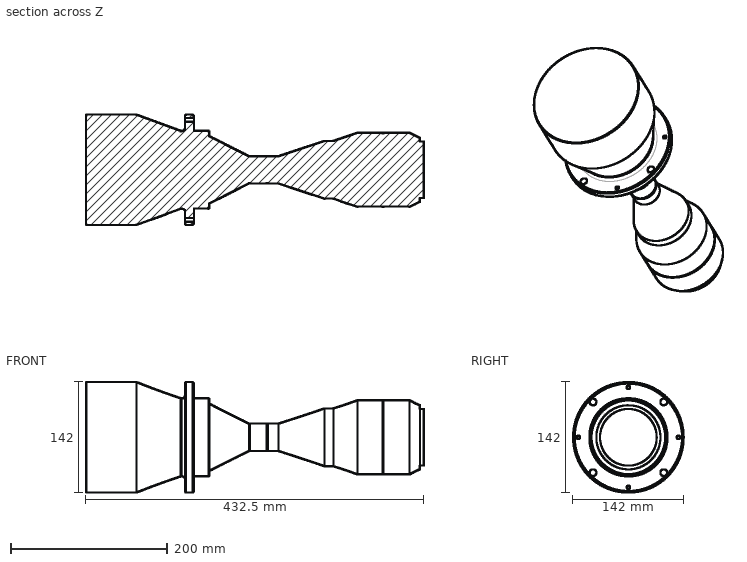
import cadquery as cq
import math

length = 432.5
barrel_end = 64.5
front_cone_end = 121.0
flange_front = 126.8
flange_back = 138.5
collar_end = 158.0
middle_cone_end = 208.5
tube_end = 246.5
rear_cone_end = 305.5
band_end = 316.5
head_start = 347.5
head_taper_start = 414.5
head_end = 427.5

flange_radius = 71.0
barrel_radius = 71.0
collar_radius = 50.0
middle_cone_radius = 43.3
tube_radius = 17.7
band_radius = 37.0
head_radius = 47.5
head_end_radius = 41.0
stub_radius = 36.5

barrel_chamfer = 1.0
flange_front_chamfer = 1.5
flange_back_chamfer = 2.0
neck_fillet = 3.5
collar_chamfer = 1.5

groove_width = 1.5
groove_depth = 0.5
middle_groove_start = 231.5
head_groove_start = 380.0
grooves = [
    (front_cone_end, collar_radius),
    (middle_cone_end, tube_radius),
    (middle_groove_start, tube_radius),
    (head_groove_start, head_radius),
]

bolt_circle_radius = 64.0
mounting_hole_diameter = 8.5
small_hole_diameter = 4.5
holes_per_set = 4


def turned_body():
    """Revolve the stepped outline, as (x, radius), around the X axis."""
    fillet_inset = neck_fillet * (1 - math.sqrt(0.5))
    outline = (
        cq.Workplane("XY")
        .lineTo(0, barrel_radius - barrel_chamfer)
        .lineTo(barrel_chamfer, barrel_radius)
        .lineTo(barrel_end, barrel_radius)
        .lineTo(front_cone_end, collar_radius)
        .lineTo(flange_front - neck_fillet, collar_radius)
        .threePointArc(
            (flange_front - fillet_inset, collar_radius + fillet_inset),
            (flange_front, collar_radius + neck_fillet),
        )
        .lineTo(flange_front, flange_radius - flange_front_chamfer)
        .lineTo(flange_front + flange_front_chamfer, flange_radius)
        .lineTo(flange_back - flange_back_chamfer, flange_radius)
        .lineTo(flange_back, flange_radius - flange_back_chamfer)
        .lineTo(flange_back, collar_radius)
        .lineTo(collar_end - collar_chamfer, collar_radius)
        .lineTo(collar_end, collar_radius - collar_chamfer)
        .lineTo(collar_end, middle_cone_radius)
        .lineTo(middle_cone_end, tube_radius)
        .lineTo(tube_end, tube_radius)
        .lineTo(rear_cone_end, band_radius)
        .lineTo(band_end, band_radius)
        .lineTo(head_start, head_radius)
        .lineTo(head_taper_start, head_radius)
        .lineTo(head_end, head_end_radius)
        .lineTo(head_end, stub_radius)
        .lineTo(length, stub_radius)
        .lineTo(length, 0)
        .close()
    )
    return outline.revolve(360, (0, 0, 0), (1, 0, 0))


def groove_ring(start, radius):
    """Ring that cuts a shallow groove into a cylinder of the given radius."""
    return (
        cq.Workplane("YZ", origin=(start, 0, 0))
        .circle(radius + groove_depth)
        .circle(radius - groove_depth)
        .extrude(groove_width)
    )


def flange_holes(diameter, start_angle):
    """Evenly spaced pins that cut holes through the flange."""
    return (
        cq.Workplane("YZ", origin=(flange_front, 0, 0))
        .polarArray(bolt_circle_radius, start_angle, 360, holes_per_set)
        .circle(diameter / 2)
        .extrude(flange_back - flange_front)
    )


result = turned_body()
for groove_start, groove_radius in grooves:
    result = result.cut(groove_ring(groove_start, groove_radius))
result = result.cut(flange_holes(mounting_hole_diameter, 45))
result = result.cut(flange_holes(small_hole_diameter, 0))